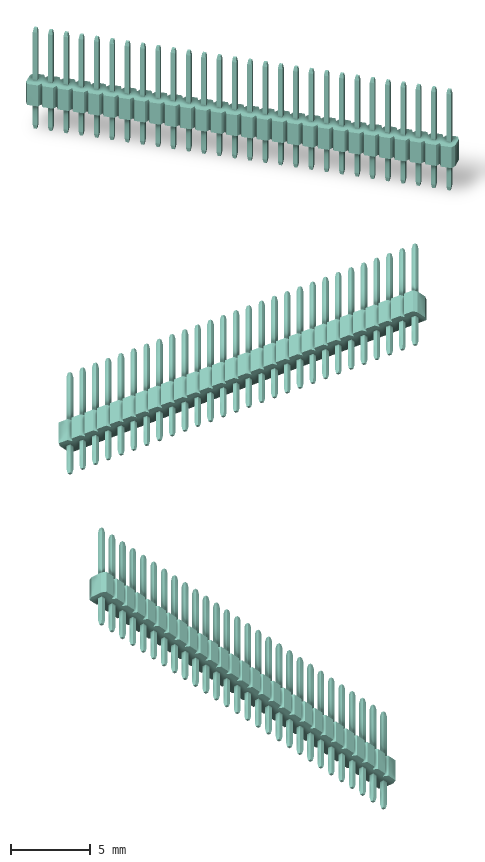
import cadquery as cq

pin_count = 28
row_length = 28.0
pitch = row_length / pin_count

housing_width = 1.4
housing_height = 1.5
end_face_width = 0.78
side_face_length = 0.7

pin_above = 3.75
pin_below = 2.0
tip_length = 0.28
tip_size = 0.2
tip_inset = 0.05
pin_size = tip_size + 2 * tip_inset

pin_places = [((i - (pin_count - 1) / 2) * pitch, 0) for i in range(pin_count)]


def cell_outline():
    """Eight-sided outline of one housing cell, listed around its centre."""
    x_end = pitch / 2
    x_side = side_face_length / 2
    y_end = end_face_width / 2
    y_side = housing_width / 2
    return [
        (x_end, y_end), (x_side, y_side), (-x_side, y_side), (-x_end, y_end),
        (-x_end, -y_end), (-x_side, -y_side), (x_side, -y_side), (x_end, -y_end),
    ]


def make_housing():
    """Row of touching cells; their cut corners form the V notches."""
    return (
        cq.Workplane("XY")
        .pushPoints(pin_places)
        .eachpoint(
            cq.Workplane("XY").polyline(cell_outline()).close().extrude(housing_height).val(),
            combine=False,
        )
        .combine()
        .clean()
    )


def make_pin():
    """One square pin on the Z axis, tapered on all four sides at both ends."""
    return (
        cq.Workplane("XY", origin=(0, 0, -pin_below))
        .rect(pin_size, pin_size)
        .extrude(pin_below + housing_height + pin_above)
        .faces("<Z or >Z")
        .chamfer(tip_length, tip_inset)
    )


def make_pins():
    """One pin through the middle of every cell."""
    return cq.Workplane("XY").pushPoints(pin_places).eachpoint(make_pin().val(), combine=False)


result = make_housing().union(make_pins())